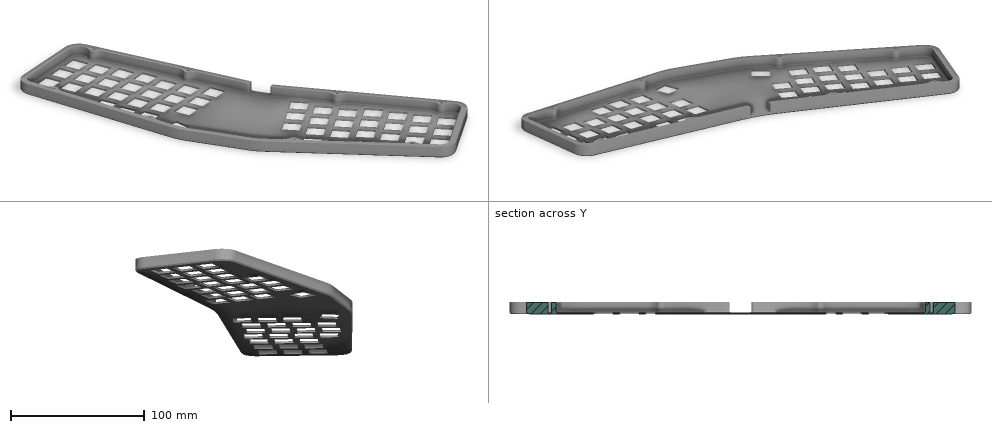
import cadquery as cq
import math

HALF_LENGTH = 173.5
HALF_WIDTH = 59.7
HEIGHT = 9.0

FLOOR_THICKNESS = 1.5
WALL_THICKNESS = 5.0
FOOT_FILLET = 1.0
BOTTOM_CHAMFER = 1.0

CORNER_RADIUS = 11.8
BACK_CORNER_X = -149.5
FRONT_CORNER_Y = -10.8
KNUCKLE_RADIUS = 50.5
KNUCKLE_X = -24.3
DIP_RADIUS = 104.2
DIP_Y = 40.0

GAP_WIDTH = 16.5
GAP_CORNER_RADIUS = 1.7

SWITCH_SIZE = 14.0
KEY_TILT = 12.0
COLUMN_SPAN = 114.0
INNER_COLUMN_U = -39.2
COLUMNS = [(19.8, 3), (14.0, 4), (11.8, 4), (14.5, 4), (11.8, 3), (9.5, 3), (7.3, 3)]
KEY_PITCH = COLUMN_SPAN / (len(COLUMNS) - 1)
THUMB_POSITION = (-39.2, -40.0)
THUMB_TILT = 27.0

BOSS_RADIUS = 3.5
BOSS_OFFSET = 0.5
BOSS_BLEND_RADIUS = 9.0
SCREW_HOLE_DIAMETER = 2.5
BACK_BOSS_X = [-139.3, -59.7]
FRONT_BOSS_X = [-143.5, -57.5]

FRONT_ARC = (KNUCKLE_X, KNUCKLE_RADIUS - HALF_WIDTH, KNUCKLE_RADIUS)
FRONT_CORNER_ARC = (CORNER_RADIUS - HALF_LENGTH, FRONT_CORNER_Y, CORNER_RADIUS)
BACK_CORNER_ARC = (BACK_CORNER_X, HALF_WIDTH - CORNER_RADIUS, CORNER_RADIUS)
DIP_ARC = (0.0, DIP_Y + DIP_RADIUS, -DIP_RADIUS)


def mirrored(arc):
    x, y, radius = arc
    return (-x, y, radius)


LEFT_ARCS = [FRONT_ARC, FRONT_CORNER_ARC, BACK_CORNER_ARC]
OUTLINE_ARCS = LEFT_ARCS + [DIP_ARC] + [mirrored(arc) for arc in reversed(LEFT_ARCS)]


def tangent_normal(start, end):
    """Angle of the outward normal of the line that runs clockwise from one arc to the next."""
    dx = end[0] - start[0]
    dy = end[1] - start[1]
    return math.atan2(dy, dx) + math.acos((start[2] - end[2]) / math.hypot(dx, dy))


def arc_point(arc, angle, inset=0.0):
    x, y, radius = arc
    reach = radius - inset
    return (x + reach * math.cos(angle), y + reach * math.sin(angle))


def outline(inset, z):
    """Tray outline moved inward by an even inset, on the plane at height z."""
    count = len(OUTLINE_ARCS)
    normals = [tangent_normal(OUTLINE_ARCS[i], OUTLINE_ARCS[(i + 1) % count]) for i in range(count)]
    sketch = cq.Workplane("XY").workplane(offset=z).moveTo(*arc_point(FRONT_ARC, normals[-1], inset))
    for i, arc in enumerate(OUTLINE_ARCS):
        entry = normals[i - 1]
        turn = math.remainder(normals[i] - entry, math.tau)
        if i > 0:
            sketch = sketch.lineTo(*arc_point(arc, entry, inset))
        sketch = sketch.threePointArc(
            arc_point(arc, entry + turn / 2, inset), arc_point(arc, normals[i], inset)
        )
    return sketch.close()


def boss_sites():
    """Centre and outward wall angle of each boss; centres lie just inside the inner wall face."""
    edges = [
        (BACK_CORNER_ARC, DIP_ARC, BACK_BOSS_X),
        (FRONT_ARC, FRONT_CORNER_ARC, FRONT_BOSS_X),
    ]
    sites = []
    for start, end, places in edges:
        normal = tangent_normal(start, end)
        wall_x, wall_y = arc_point(start, normal, WALL_THICKNESS + BOSS_OFFSET)
        for x in places:
            y = wall_y - (x - wall_x) / math.tan(normal)
            sites.append((x, y, normal))
            sites.append((-x, y, math.pi - normal))
    return sites


def boss(site):
    """Half-round boss blended into the wall face and running into the wall behind it."""
    x, y, normal = site
    wall_y = -BOSS_OFFSET
    blend_y = wall_y + BOSS_BLEND_RADIUS
    centre_distance = BOSS_RADIUS + BOSS_BLEND_RADIUS
    blend_x = math.sqrt(centre_distance**2 - blend_y**2)
    touch_x = blend_x * BOSS_RADIUS / centre_distance
    touch_y = blend_y * BOSS_RADIUS / centre_distance
    half_angle = math.atan2(blend_x, blend_y) / 2
    middle_x = blend_x - BOSS_BLEND_RADIUS * math.sin(half_angle)
    middle_y = blend_y - BOSS_BLEND_RADIUS * math.cos(half_angle)
    root_y = -WALL_THICKNESS / 2
    profile = (
        cq.Workplane("XY")
        .moveTo(-blend_x, root_y)
        .lineTo(-blend_x, wall_y)
        .threePointArc((-middle_x, middle_y), (-touch_x, touch_y))
        .threePointArc((0, BOSS_RADIUS), (touch_x, touch_y))
        .threePointArc((middle_x, middle_y), (blend_x, wall_y))
        .lineTo(blend_x, root_y)
        .close()
    )
    inward_turn = math.degrees(normal) + 90
    return profile.extrude(2 * HEIGHT).rotate((0, 0, 0), (0, 0, 1), inward_turn).translate((x, y, 0))


def back_gap():
    """Opening through the back wall, from the middle of the tray out past the wall."""
    gap = cq.Workplane("XY").box(GAP_WIDTH, HALF_WIDTH, HEIGHT, centered=(True, False, False))
    return gap.translate((0, 0, FLOOR_THICKNESS))


def cavity():
    """Space above the floor, open at the back gap, with rounded wall feet and gap corners."""
    space = outline(WALL_THICKNESS, FLOOR_THICKNESS).extrude(HEIGHT)
    for site in boss_sites():
        space = space.cut(boss(site))
    space = space.union(back_gap())
    corner_y = DIP_Y - WALL_THICKNESS
    gap_corners = cq.selectors.BoxSelector(
        (-GAP_WIDTH, corner_y - WALL_THICKNESS / 2, 0), (GAP_WIDTH, corner_y + WALL_THICKNESS / 2, 2 * HEIGHT)
    )
    space = space.edges("|Z").edges(gap_corners).fillet(GAP_CORNER_RADIUS)
    return space.faces("<Z").edges().fillet(FOOT_FILLET)


def tray():
    block = outline(0, 0).extrude(HEIGHT).faces("<Z").chamfer(BOTTOM_CHAMFER)
    return block.cut(cavity())


def screw_holes():
    centres = [(x, y) for x, y, _ in boss_sites()]
    holes = cq.Workplane("XY").workplane(offset=FLOOR_THICKNESS).pushPoints(centres)
    return holes.circle(SCREW_HOLE_DIAMETER / 2).extrude(HEIGHT)


def switch_cutout():
    return cq.Workplane("XY").box(SWITCH_SIZE, SWITCH_SIZE, HEIGHT)


def left_switch_cutouts():
    cutouts = cq.Workplane("XY")
    for column, (first_v, key_count) in enumerate(COLUMNS):
        u = INNER_COLUMN_U - column * KEY_PITCH
        for row in range(key_count):
            cutouts = cutouts.add(switch_cutout().translate((u, first_v - row * KEY_PITCH, 0)))
    cutouts = cutouts.combine().rotate((0, 0, 0), (0, 0, 1), -KEY_TILT)
    thumb = switch_cutout().rotate((0, 0, 0), (0, 0, 1), -THUMB_TILT).translate((*THUMB_POSITION, 0))
    return cutouts.union(thumb)


left_cutouts = left_switch_cutouts()
result = (
    tray()
    .cut(screw_holes())
    .cut(left_cutouts)
    .cut(left_cutouts.mirror("YZ"))
)